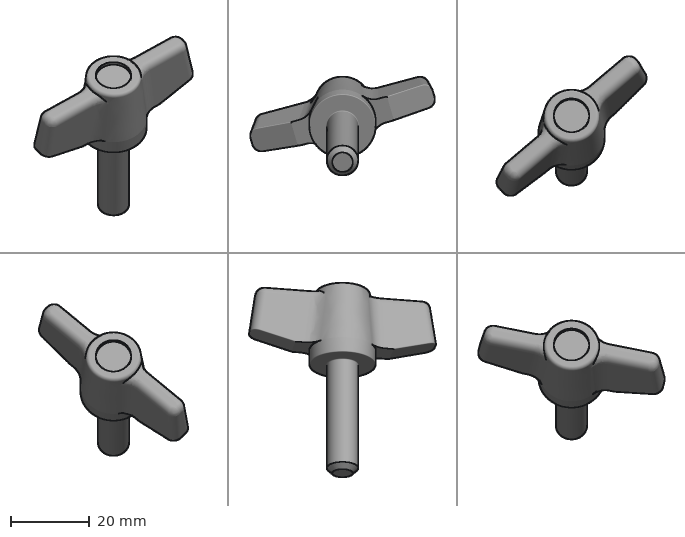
import cadquery as cq
import math

stud_diameter = 8.0
stud_length = 30.0
stud_chamfer = 1.4

hub_diameter = 16.9
hub_height = 20.0
collar_height = 4.0
body_draft = 5.3
hub_top_fillet = 0.9
recess_diameter = 8.96
recess_depth = 1.0

wing_top = 19.0
wing_tip_reach = 24.0
wing_tip_bottom = 7.0
wing_tip_draft = 7.6
wing_heel_reach = 12.65
upright_face_x = 3.33
drafted_face_x = -3.33
drafted_face_draft = 5.3
tip_fillet = 2.3
root_fillet = 5.0
wing_top_fillet = 2.0

edge_fillet = 0.2

selection_band = 1.0
parallel_tolerance = 0.01


def run(height, draft):
    """Sideways travel of a face with the given draft over a height."""
    return height * math.tan(math.radians(draft))


def make_wing():
    """Wing towards -Y: side profile cut to a section drafted on one face."""
    tip_top_reach = wing_tip_reach - run(wing_top - wing_tip_bottom, wing_tip_draft)
    profile = (
        cq.Workplane("YZ")
        .polyline([
            (0, collar_height),
            (-wing_heel_reach, collar_height),
            (-wing_tip_reach, wing_tip_bottom),
            (-tip_top_reach, wing_top),
            (0, wing_top),
        ])
        .close()
        .extrude(hub_diameter / 2, both=True)
    )
    drafted_top_x = drafted_face_x + run(wing_top - collar_height, drafted_face_draft)
    section = (
        cq.Workplane("XZ")
        .polyline([
            (drafted_face_x, collar_height),
            (upright_face_x, collar_height),
            (upright_face_x, wing_top),
            (drafted_top_x, wing_top),
        ])
        .close()
        .extrude(wing_tip_reach)
    )
    wing = profile.intersect(section)
    middle = (wing_tip_bottom + wing_top) / 2
    tip_corners = cq.selectors.BoxSelector(
        (-hub_diameter, -wing_tip_reach, middle - selection_band),
        (hub_diameter, -tip_top_reach, middle + selection_band),
    )
    return wing.edges(tip_corners).fillet(tip_fillet)


def make_hub_cone(top):
    """Tapered hub body from the collar up to the given level."""
    quarter_turn = 90
    return (
        cq.Workplane("XY", origin=(0, 0, collar_height))
        .circle(hub_diameter / 2)
        .extrude(top - collar_height, taper=body_draft)
        .rotate((0, 0, 0), (0, 0, 1), quarter_turn)
    )


def round_wing_underside(body, side):
    """Soften the rim of the sloping underside of the wing on the given side of Y."""
    slope_height = wing_tip_bottom - collar_height
    slope_length = wing_tip_reach - wing_heel_reach
    underside_normal = cq.Vector(0, side * slope_height, -slope_length)
    underside = body.faces(cq.selectors.ParallelDirSelector(underside_normal, parallel_tolerance))
    return underside.edges("not(<Z)").fillet(edge_fillet)


def make_winged_body():
    """Both wings blended into the lower part of the hub, with a rounded top rim."""
    wing = make_wing()
    opposite_wing = wing.rotate((0, 0, 0), (0, 0, 1), 180)
    body = make_hub_cone(wing_top).union(wing).union(opposite_wing)
    hub_radius = hub_diameter / 2
    middle = (collar_height + wing_top) / 2
    roots = cq.selectors.BoxSelector(
        (-hub_radius / 2, -hub_radius, middle - selection_band),
        (hub_radius / 2, hub_radius, middle + selection_band),
    )
    body = body.edges(roots).fillet(root_fillet)
    body = body.faces(">Z").edges().fillet(wing_top_fillet)
    for side in (-1, 1):
        body = round_wing_underside(body, side)
    return body


def make_hub():
    """Full-height hub with rounded rims and the recess in its top."""
    cone = make_hub_cone(hub_height).faces(">Z").edges().fillet(hub_top_fillet)
    collar = cq.Workplane("XY").circle(hub_diameter / 2).extrude(collar_height)
    collar = collar.faces("<Z").edges().fillet(edge_fillet)
    recess = (
        cq.Workplane("XY", origin=(0, 0, hub_height))
        .circle(recess_diameter / 2)
        .extrude(-recess_depth)
    )
    return cone.cut(recess).union(collar)


def make_stud():
    """Stud under the hub, chamfered at its free end and flared into the hub."""
    stud = cq.Workplane("XY").circle(stud_diameter / 2).extrude(-stud_length)
    stud = stud.faces("<Z").chamfer(stud_chamfer)
    radius = stud_diameter / 2
    flare = (
        cq.Workplane("XZ")
        .lineTo(radius + edge_fillet, 0)
        .radiusArc((radius, -edge_fillet), -edge_fillet)
        .lineTo(0, -edge_fillet)
        .close()
        .revolve(360, (0, 0, 0), (0, 1, 0))
    )
    return stud.union(flare)


hub_with_stud = make_hub().union(make_stud())
wings = make_winged_body().cut(make_hub_cone(hub_height))
result = hub_with_stud.union(wings)